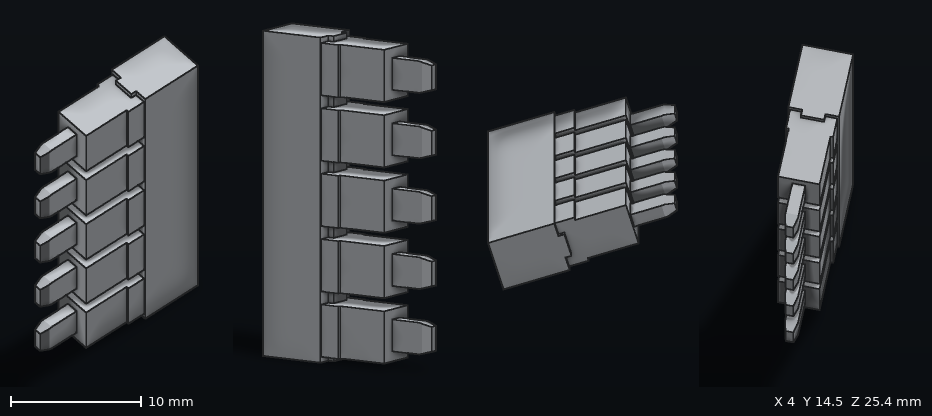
import cadquery as cq

total_depth = 14.5

body_width = 4.0
body_depth = 5.33
body_height = 25.4

rib_width = 1.83
rib_projection = 0.48

position_count = 5
pitch = 5.1

block_width = 3.28
block_height = 4.1
block_projection = 5.66

shoulder_width = 3.7
shoulder_projection = 1.57

pin_width = 1.02
pin_height = 2.5
tip_width = 0.6
tip_height = 1.95
side_taper_length = 0.75
end_taper_length = 1.0

pin_end = body_depth - total_depth


def box_in_front(width, projection, height, z_center):
    """Box centred on X that projects from the mating face toward -Y."""
    return cq.Workplane("XY").box(width, projection, height).translate((0, -projection / 2, z_center))


def tapered_profile(plane, size, tip_size, taper_length, thickness):
    """Plate whose outline is a straight pin narrowing to its tip, extruded to both sides of the plane."""
    taper_start = pin_end + taper_length
    outline = [
        (-size / 2, 0),
        (-size / 2, taper_start),
        (-tip_size / 2, pin_end),
        (tip_size / 2, pin_end),
        (size / 2, taper_start),
        (size / 2, 0),
    ]
    return cq.Workplane(plane).polyline(outline).close().extrude(thickness / 2, both=True)


def make_pin():
    """Flat pin with all four faces tapered at the tip, centred on Z = 0."""
    width_profile = tapered_profile("XY", pin_width, tip_width, side_taper_length, pin_height)
    height_profile = tapered_profile("ZY", pin_height, tip_height, end_taper_length, pin_width)
    return width_profile.intersect(height_profile)


result = cq.Workplane("XY").box(body_width, body_depth, body_height).translate((0, body_depth / 2, 0))
result = result.union(box_in_front(rib_width, rib_projection, body_height, 0))

pin = make_pin()
for position in range(position_count):
    z_center = (position - (position_count - 1) / 2) * pitch
    result = result.union(box_in_front(shoulder_width, shoulder_projection, block_height, z_center))
    result = result.union(box_in_front(block_width, block_projection, block_height, z_center))
    result = result.union(pin.translate((0, 0, z_center)))